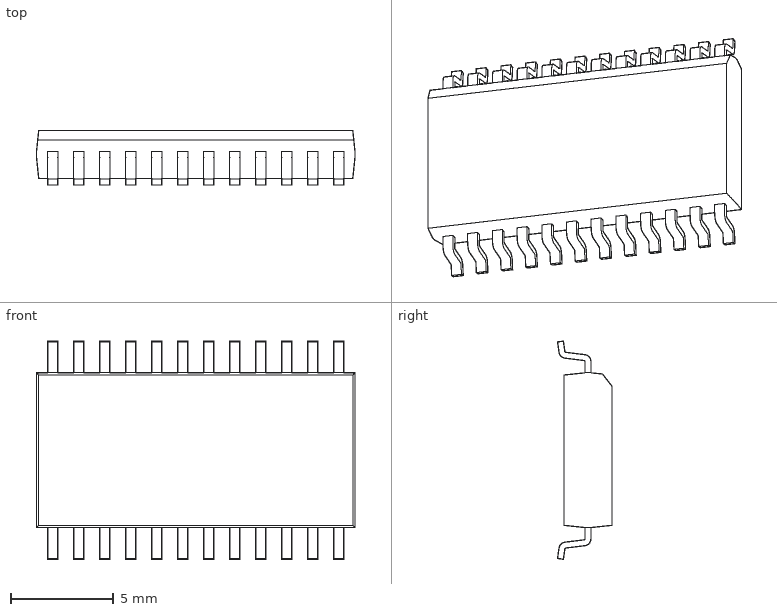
import cadquery as cq
import math


body_length = 15.57
body_width = 7.57
body_thickness = 2.355
draft_angle = math.radians(6)
bevel_width = 0.66
bevel_depth = 0.465

overall_depth = 2.67
overall_span = 10.67
leads_per_row = 12
lead_pitch = 1.27
lead_width = 0.51
lead_thickness = 0.30
straight_length = 0.54
inner_bend_radius = 0.05
leg_tilt = math.radians(7)
foot_tilt = math.radians(8)

back_y = overall_depth
front_y = back_y - body_thickness
lead_mid_y = (back_y + front_y) / 2
band_back_y = lead_mid_y + lead_thickness / 2
half_depth = (body_thickness - lead_thickness) / 2
draft_inset = half_depth * math.tan(draft_angle)


def make_mould_half(toward_back):
    """Tapered block on one side of the lead plane, including half the parting band."""
    direction = 1 if toward_back else -1
    plane = cq.Plane(origin=(0, lead_mid_y, 0), xDir=(1, 0, 0), normal=(0, direction, 0))
    band = cq.Workplane(plane).rect(body_length, body_width).extrude(lead_thickness / 2)
    taper = (
        cq.Workplane(plane)
        .workplane(offset=lead_thickness / 2)
        .rect(body_length, body_width)
        .workplane(offset=half_depth)
        .rect(body_length - 2 * draft_inset, body_width - 2 * draft_inset)
        .loft(ruled=True)
    )
    return band.union(taper)


def make_bevel_cutter():
    """Wedge that bevels the back edge of the +Z side along the whole length."""
    side_z = body_width / 2
    bevel_start_y = back_y - bevel_depth
    side_inset = draft_inset * (bevel_start_y - band_back_y) / half_depth
    bevel_start_z = side_z - side_inset
    bevel_end_z = side_z - bevel_width
    return (
        cq.Workplane("YZ")
        .polyline([
            (back_y, bevel_end_z),
            (bevel_start_y, bevel_start_z),
            (bevel_start_y, side_z),
            (back_y, side_z),
        ])
        .close()
        .extrude(body_length / 2, both=True)
    )


def make_lead():
    """Gull-wing lead of the +Z row, centred on X = 0."""
    half = lead_thickness / 2
    radius = inner_bend_radius + half
    leg_heading = math.pi / 2 - leg_tilt

    def advance(point, heading, distance):
        y, z = point
        return (y - distance * math.sin(heading), z + distance * math.cos(heading))

    def back_side(point, heading):
        return (point[0] + half * math.cos(heading), point[1] + half * math.sin(heading))

    def front_side(point, heading):
        return (point[0] - half * math.cos(heading), point[1] - half * math.sin(heading))

    def along_bend(start, start_heading, end_heading):
        y_drop = radius * abs(math.cos(end_heading) - math.cos(start_heading))
        z_rise = radius * abs(math.sin(end_heading) - math.sin(start_heading))
        return (start[0] - y_drop, start[1] + z_rise)

    root = (lead_mid_y, 0)
    straight_end = (lead_mid_y, body_width / 2 + straight_length)
    leg_start = along_bend(straight_end, 0, leg_heading)
    tip = (half * math.cos(foot_tilt), overall_span / 2 - half * math.sin(foot_tilt))
    y_left = leg_start[0] - tip[0] - radius * (math.cos(foot_tilt) - math.cos(leg_heading))
    z_left = tip[1] - leg_start[1] - radius * (math.sin(leg_heading) - math.sin(foot_tilt))
    leg_length = (
        y_left * math.cos(foot_tilt) - z_left * math.sin(foot_tilt)
    ) / math.sin(leg_heading - foot_tilt)
    leg_end = advance(leg_start, leg_heading, leg_length)
    foot_start = along_bend(leg_end, leg_heading, foot_tilt)

    first_mid_heading = leg_heading / 2
    first_mid = along_bend(straight_end, 0, first_mid_heading)
    second_mid_heading = (leg_heading + foot_tilt) / 2
    second_mid = along_bend(leg_end, leg_heading, second_mid_heading)

    return (
        cq.Workplane("YZ")
        .moveTo(*back_side(root, 0))
        .lineTo(*back_side(straight_end, 0))
        .threePointArc(back_side(first_mid, first_mid_heading), back_side(leg_start, leg_heading))
        .lineTo(*back_side(leg_end, leg_heading))
        .threePointArc(back_side(second_mid, second_mid_heading), back_side(foot_start, foot_tilt))
        .lineTo(*back_side(tip, foot_tilt))
        .lineTo(*front_side(tip, foot_tilt))
        .lineTo(*front_side(foot_start, foot_tilt))
        .threePointArc(front_side(second_mid, second_mid_heading), front_side(leg_end, leg_heading))
        .lineTo(*front_side(leg_start, leg_heading))
        .threePointArc(front_side(first_mid, first_mid_heading), front_side(straight_end, 0))
        .lineTo(*front_side(root, 0))
        .close()
        .extrude(lead_width / 2, both=True)
    )


body = make_mould_half(toward_back=True).union(make_mould_half(toward_back=False))
body = body.cut(make_bevel_cutter())

upper_lead = make_lead()
lower_lead = upper_lead.mirror("XY")
lead_pair = upper_lead.union(lower_lead)

result = body
for index in range(leads_per_row):
    lead_x = (index - (leads_per_row - 1) / 2) * lead_pitch
    result = result.union(lead_pair.translate((lead_x, 0, 0)))